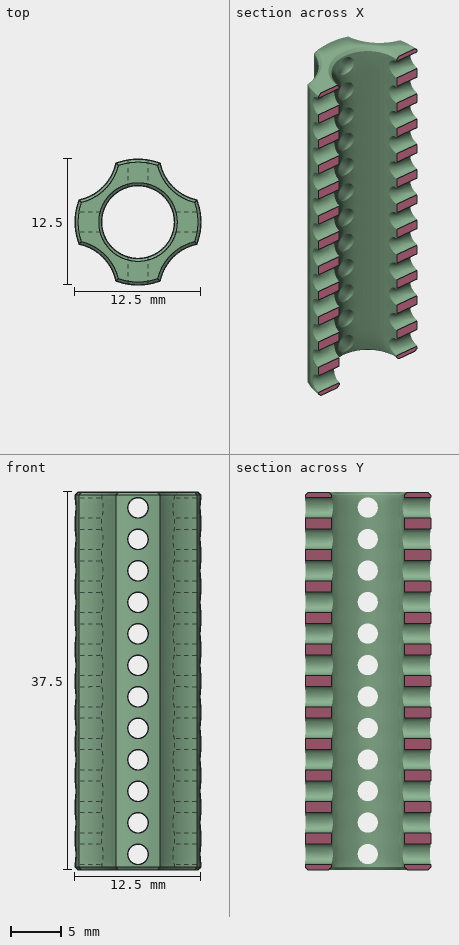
import cadquery as cq
import math

OUTER_DIAMETER = 12.5
LENGTH = 37.5
BORE_DIAMETER = 7.2
CHAMFER = 0.3

LOBE_COUNT = 4
LOBE_WIDTH = 4.4
FLUTE_RADIUS = 4.7

HOLE_DIAMETER = 2.0
HOLES_PER_ROW = 12

outer_radius = OUTER_DIAMETER / 2
lobe_angle = 360 / LOBE_COUNT
lobe_half_angle = math.degrees(math.asin(LOBE_WIDTH / 2 / outer_radius))
flute_half_angle = math.radians(lobe_angle / 2 - lobe_half_angle)
flute_half_chord = outer_radius * math.sin(flute_half_angle)
chord_distance = outer_radius * math.cos(flute_half_angle)
flute_center_distance = chord_distance + math.sqrt(FLUTE_RADIUS**2 - flute_half_chord**2)
flute_floor_radius = flute_center_distance - FLUTE_RADIUS
hole_pitch = LENGTH / HOLES_PER_ROW


def polar(radius, angle):
    """Point at the given radius and angle in degrees about the axis."""
    return radius * math.cos(math.radians(angle)), radius * math.sin(math.radians(angle))


def fluted_body():
    """Bar with four convex lobes and four concave flutes, chamfered at both ends."""
    outline = cq.Workplane("XY").moveTo(*polar(outer_radius, -lobe_half_angle))
    for index in range(LOBE_COUNT):
        lobe_center = index * lobe_angle
        lobe_end = lobe_center + lobe_half_angle
        flute_center = lobe_center + lobe_angle / 2
        next_lobe_start = lobe_center + lobe_angle - lobe_half_angle
        outline = outline.threePointArc(polar(outer_radius, lobe_center), polar(outer_radius, lobe_end))
        outline = outline.threePointArc(
            polar(flute_floor_radius, flute_center), polar(outer_radius, next_lobe_start)
        )
    body = outline.close().extrude(LENGTH)
    return body.faces("<Z or >Z").edges().chamfer(CHAMFER)


def bore():
    """Axial through bore with a chamfered mouth at each end."""
    radius = BORE_DIAMETER / 2
    mouth_radius = radius + CHAMFER
    return (
        cq.Workplane("XZ")
        .moveTo(0, 0)
        .lineTo(mouth_radius, 0)
        .lineTo(radius, CHAMFER)
        .lineTo(radius, LENGTH - CHAMFER)
        .lineTo(mouth_radius, LENGTH)
        .lineTo(0, LENGTH)
        .close()
        .revolve(360, (0, 0, 0), (0, 1, 0))
    )


def cross_holes(plane):
    """Row of evenly pitched holes running through the part, normal to the plane."""
    centers = [(0, (index + 0.5) * hole_pitch) for index in range(HOLES_PER_ROW)]
    return (
        cq.Workplane(plane)
        .pushPoints(centers)
        .circle(HOLE_DIAMETER / 2)
        .extrude(OUTER_DIAMETER, both=True)
    )


result = fluted_body().cut(bore())
for row_plane in ("XZ", "YZ"):
    result = result.cut(cross_holes(row_plane))